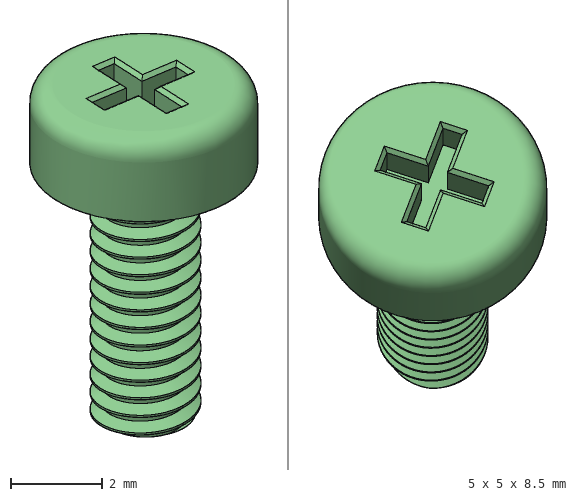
import cadquery as cq
import math

total_height = 8.5
head_diameter = 5.0
head_height = 2.01
head_edge_radius = 0.5
shank_length = total_height - head_height

shank_offset_x = -0.021
shank_offset_y = 0.07
thread_root_diameter = 1.92
thread_crest_diameter = 2.43
thread_pitch = 0.45
thread_crest_width = thread_pitch / 8
thread_flank_angle = 30.0
thread_crest_height = 0.29
thread_embed = 0.025

recess_offset_x = -0.01
recess_offset_y = -0.085
recess_length = 2.55
recess_width = 0.63
recess_depth = 1.0
recess_chamfer = 0.09


def make_cross_recess():
    """Cross-shaped cutter with a bevelled rim, its top on the head top."""
    floor_z = total_height - recess_depth
    inner_length = recess_length - 2 * recess_chamfer
    inner_width = recess_width - 2 * recess_chamfer

    def arm(length, width):
        slot = cq.Workplane("XY").box(length, width, recess_depth, centered=(True, True, False))
        bevel = (
            cq.Workplane("XY", origin=(0, 0, recess_depth - recess_chamfer))
            .rect(length, width)
            .workplane(offset=recess_chamfer)
            .rect(length + 2 * recess_chamfer, width + 2 * recess_chamfer)
            .loft(ruled=True)
        )
        return slot.union(bevel)

    cross = arm(inner_length, inner_width).union(arm(inner_width, inner_length))
    return cross.translate((recess_offset_x, recess_offset_y, floor_z))


def make_head():
    """Round head with a rounded top edge and a cross recess."""
    blank = (
        cq.Workplane("XY", origin=(0, 0, shank_length))
        .circle(head_diameter / 2)
        .extrude(head_height)
        .faces(">Z")
        .edges()
        .fillet(head_edge_radius)
    )
    return blank.cut(make_cross_recess())


def make_thread_ridge():
    """Right-handed helical ridge running past both ends of the shank."""
    root_radius = thread_root_diameter / 2
    inner_radius = root_radius - thread_embed
    crest_radius = thread_crest_diameter / 2
    flank_rise = (crest_radius - inner_radius) * math.tan(math.radians(thread_flank_angle))
    half_crest = thread_crest_width / 2
    half_base = half_crest + flank_rise

    start_z = thread_crest_height - 2 * thread_pitch
    turns = math.ceil((shank_length - start_z) / thread_pitch) + 1
    path = cq.Wire.makeHelix(thread_pitch, turns * thread_pitch, root_radius)
    ridge = (
        cq.Workplane("XZ")
        .moveTo(inner_radius, -half_base)
        .lineTo(crest_radius, -half_crest)
        .lineTo(crest_radius, half_crest)
        .lineTo(inner_radius, half_base)
        .close()
        .sweep(cq.Workplane(path), isFrenet=True)
    )
    return ridge.translate((0, 0, start_z))


def make_threaded_shank():
    """Core with a full-length thread, cut square at both ends."""
    core = cq.Workplane("XY").circle(thread_root_diameter / 2).extrude(shank_length)
    envelope = cq.Workplane("XY").circle(thread_crest_diameter).extrude(shank_length)
    shank = core.union(make_thread_ridge().intersect(envelope))
    return shank.translate((shank_offset_x, shank_offset_y, 0))


head = make_head()
threaded_shank = make_threaded_shank()

result = cq.Compound.makeCompound([head.val(), threaded_shank.solids().val()])